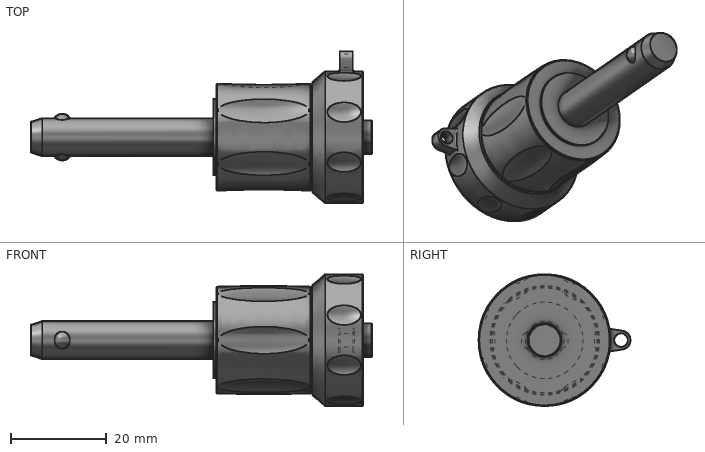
import math

import cadquery as cq


pin_radius = 4.0
tip_radius = 3.2
tip_length = 2.4

ball_x = 6.55
ball_radius = 1.87
ball_reach = 4.9

collar_start = 38.1
collar_radius = 8.0

grip_start = 38.7
grip_end = 58.6
grip_end_radius = 11.2
grip_middle_radius = 11.35
grip_edge = 0.25
grip_face_radius = grip_end_radius - grip_edge

scallop_count = 6
scallop_length = 18.9
scallop_floor_radius = 10.4
scallop_cross_radius = 7.2

cap_start = 58.75
cap_start_radius = 11.45
cap_rim_start = 61.5
cap_end = 69.4
cap_radius = 13.8
cap_edge = 0.2

dimple_count = 8
dimple_length = 7.0
dimple_floor_radius = 13.13
dimple_cross_radius = 5.3

button_end = 71.3
button_radius = 3.54
button_edge = 0.2

tab_start = 64.5
tab_thickness = 2.75
tab_reach = 17.99
tab_end_radius = 2.0
tab_hole_radius = 1.4
tab_base_half_width = 2.5
tab_root_y = 13.0
tab_fillet = 0.3


def make_body():
    """Turned profile of shank, collar, grip, cap and button, drawn on the -Y side."""
    grip_middle = (grip_start + grip_end) / 2
    profile = (
        cq.Workplane("XY")
        .moveTo(0, 0)
        .lineTo(0, -tip_radius)
        .lineTo(tip_length, -pin_radius)
        .lineTo(collar_start, -pin_radius)
        .lineTo(collar_start, -collar_radius)
        .lineTo(grip_start, -collar_radius)
        .lineTo(grip_start, -grip_face_radius)
        .lineTo(grip_start + grip_edge, -grip_end_radius)
        .threePointArc(
            (grip_middle, -grip_middle_radius),
            (grip_end - grip_edge, -grip_end_radius),
        )
        .lineTo(grip_end, -grip_face_radius)
        .lineTo(cap_start, -grip_face_radius)
        .lineTo(cap_start, -cap_start_radius)
        .lineTo(cap_rim_start, -cap_radius)
        .lineTo(cap_end - cap_edge, -cap_radius)
        .lineTo(cap_end, -(cap_radius - cap_edge))
        .lineTo(cap_end, -button_radius)
        .lineTo(button_end - button_edge, -button_radius)
        .lineTo(button_end, -(button_radius - button_edge))
        .lineTo(button_end, 0)
        .close()
    )
    return profile.revolve(360, (0, 0, 0), (1, 0, 0))


def make_lanyard_tab():
    """Flat eyelet whose straight sides run tangent to its round end."""
    eye_y = tab_reach - tab_end_radius
    root_length = eye_y - tab_root_y
    root_distance = math.hypot(root_length, tab_base_half_width)
    root_angle = math.atan2(tab_base_half_width, -root_length)
    touch_angle = root_angle - math.acos(tab_end_radius / root_distance)
    touch_y = eye_y + tab_end_radius * math.cos(touch_angle)
    touch_z = tab_end_radius * math.sin(touch_angle)
    return (
        cq.Workplane("YZ", origin=(tab_start, 0, 0))
        .moveTo(0, -tab_base_half_width)
        .lineTo(tab_root_y, -tab_base_half_width)
        .lineTo(touch_y, -touch_z)
        .threePointArc((tab_reach, 0), (touch_y, touch_z))
        .lineTo(tab_root_y, tab_base_half_width)
        .lineTo(0, tab_base_half_width)
        .close()
        .moveTo(eye_y, 0)
        .circle(tab_hole_radius)
        .extrude(tab_thickness)
    )


def add_lanyard_tab(body):
    """Join the tab to the cap and round the corner where they meet."""
    joined = body.union(make_lanyard_tab())
    root_zone = cq.selectors.BoxSelector(
        (tab_start - tab_fillet, tab_root_y, -cap_radius),
        (tab_start + tab_thickness + tab_fillet, cap_radius + tab_fillet, cap_radius),
        boundingbox=True,
    )
    return joined.edges(root_zone).fillet(tab_fillet)


def add_locking_balls(body):
    for side in (-1, 1):
        ball = cq.Workplane("XY").sphere(ball_radius)
        body = body.union(ball.translate((ball_x, side * (ball_reach - ball_radius), 0)))
    return body


def cut_hollows(body, count, first_angle, middle_x, length, rim_radius, floor_radius, cross_radius):
    """Cut a ring of evenly spaced hollows with a spindle whose axis runs along X.

    The first spindle lies on -Y. Its outline meets the rim radius at both ends and
    the floor radius at its middle; its thickest section has the cross radius.
    """
    half_length = length / 2
    axis_y = -(floor_radius + cross_radius)
    spindle = (
        cq.Workplane("XY")
        .moveTo(middle_x - half_length, axis_y)
        .lineTo(middle_x - half_length, -rim_radius)
        .threePointArc((middle_x, -floor_radius), (middle_x + half_length, -rim_radius))
        .lineTo(middle_x + half_length, axis_y)
        .close()
        .revolve(360, (0, axis_y, 0), (1, axis_y, 0))
    )
    for index in range(count):
        angle = first_angle + index * 360 / count
        body = body.cut(spindle.rotate((0, 0, 0), (1, 0, 0), angle))
    return body


def cut_scallops(body):
    return cut_hollows(
        body,
        count=scallop_count,
        first_angle=0,
        middle_x=(grip_start + grip_end) / 2,
        length=scallop_length,
        rim_radius=grip_end_radius,
        floor_radius=scallop_floor_radius,
        cross_radius=scallop_cross_radius,
    )


def cut_dimples(body):
    return cut_hollows(
        body,
        count=dimple_count,
        first_angle=180 / dimple_count,
        middle_x=(cap_rim_start + cap_end) / 2,
        length=dimple_length,
        rim_radius=cap_radius,
        floor_radius=dimple_floor_radius,
        cross_radius=dimple_cross_radius,
    )


result = make_body()
result = cut_scallops(result)
result = cut_dimples(result)
result = add_lanyard_tab(result)
result = add_locking_balls(result)